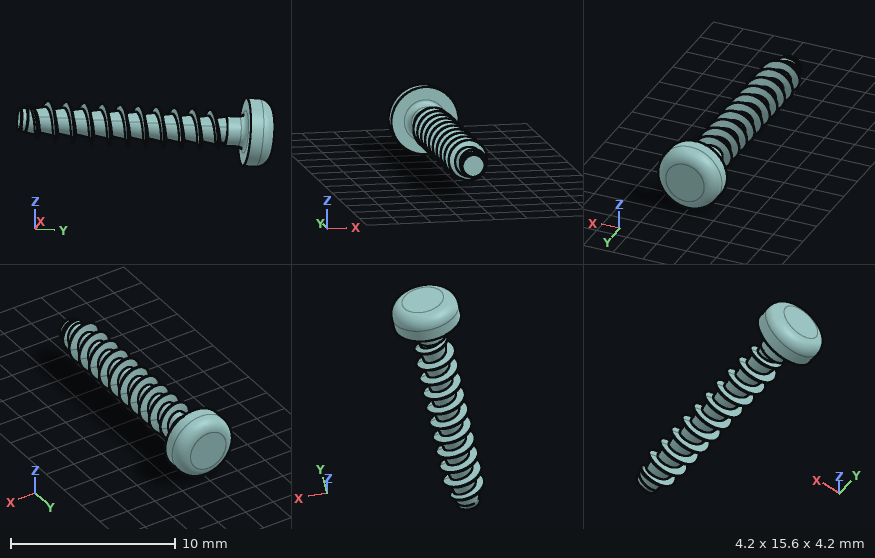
import cadquery as cq
import math

length = 15.6
head_diameter = 4.2
head_radius = head_diameter / 2
head_height = 1.6
head_rounding = 0.81
neck_radius = 0.92
neck_fillet = 0.37
neck_end = 12.78
core_radius = 0.73
tip_face_radius = 0.69
tip_bevel_height = 0.06
tip_land_radius = 0.75
tip_land_height = 0.37
tip_cone_height = 0.78
under_head = length - head_height

thread_span = 12.32
thread_turns = 11
pitch = thread_span / thread_turns
crest_height_at_x = 0.86
crest_radius = 1.26
crest_width = 0.06
crest_least_radius = 0.75
tip_fade_end = 1.5
tip_fade_slope = 0.4
head_fade_start = 11.78
head_fade_slope = 0.32

sawtooth_radius = 0.87
sawtooth_start = 0.15
sawtooth_end = 0.95

first_turn = -1
last_turn = thread_turns + 1
STEPS_PER_TURN = 16


def crest_at(height):
    """Crest radius, which shrinks where the thread fades out near the tip and the neck."""
    tip_sink = tip_fade_slope * max(0, tip_fade_end - height)
    head_sink = head_fade_slope * max(0, height - head_fade_start)
    return max(crest_least_radius, crest_radius - tip_sink - head_sink)


def helix_point(turn, radius, offset):
    """Point at a radius, and at an axial offset from the helix that the crest follows."""
    height = crest_height_at_x + pitch * turn
    angle = 2 * math.pi * turn
    return cq.Vector(radius * math.cos(angle), radius * math.sin(angle), height + offset)


def upper_crest(turn):
    crest = crest_at(crest_height_at_x + pitch * turn)
    return helix_point(turn, crest, crest_width / 2)


def lower_crest(turn):
    crest = crest_at(crest_height_at_x + pitch * turn)
    return helix_point(turn, crest, -crest_width / 2)


def sawtooth_top(turn):
    return helix_point(turn, sawtooth_radius, -sawtooth_start)


def sawtooth_bottom(turn):
    return helix_point(turn, core_radius, -sawtooth_end)


def upper_root(turn):
    """The upper flank ends where the sawtooth of the following turn ends."""
    return sawtooth_bottom(turn + 1)


def axis_point(turn):
    return helix_point(turn, 0, -sawtooth_end)


def one_turn_edge(corner, turn):
    steps = range(STEPS_PER_TURN + 1)
    return cq.Edge.makeSpline([corner(turn + step / STEPS_PER_TURN) for step in steps])


def helicoid_cap(turn):
    """One turn of helicoid between the shaft axis and the foot of the sawtooth."""
    axis = cq.Edge.makeLine(axis_point(turn), axis_point(turn + 1))
    return cq.Face.makeRuledSurface(one_turn_edge(sawtooth_bottom, turn), axis)


def flat_cap(turn):
    """Half section of the shaft, one pitch tall, that closes the step of a helicoid cap."""
    profile = [axis_point, sawtooth_bottom, sawtooth_top, lower_crest, upper_crest, upper_root]
    corners = [corner(turn) for corner in profile]
    corners.append(axis_point(turn + 1))
    return cq.Face.makeFromWires(cq.Wire.makePolygon(corners, close=True))


def tip_waste():
    """Stock outside the bevelled tip, and below it, where the thread has run out."""
    return (
        cq.Workplane("XZ")
        .lineTo(tip_face_radius, 0)
        .lineTo(core_radius, tip_bevel_height)
        .lineTo(tip_land_radius, tip_land_height)
        .lineTo(crest_radius, tip_cone_height)
        .lineTo(head_radius, tip_cone_height)
        .lineTo(head_radius, -head_height)
        .lineTo(0, -head_height)
        .close()
        .revolve(360, (0, 0, 0), (0, 1, 0))
    )


def make_threaded_shaft():
    """Core and thread as one solid, bounded by helical bands and a stepped cap at each end."""
    skin = [sawtooth_bottom, sawtooth_top, lower_crest, upper_crest, upper_root]
    faces = []
    for turn in range(first_turn, last_turn):
        edges = [one_turn_edge(corner, turn) for corner in skin]
        faces += [cq.Face.makeRuledSurface(a, b) for a, b in zip(edges, edges[1:])]
    for turn in (first_turn, last_turn):
        faces += [helicoid_cap(turn), flat_cap(turn)]
    shaft = cq.Solid.makeSolid(cq.Shell.makeShell(faces)).fix()
    return cq.Workplane(shaft).cut(tip_waste())


def make_head():
    """Pan head and filleted neck, revolved in one piece."""
    arc_mid = math.sqrt(0.5)
    fillet_mid = neck_fillet * (1 - arc_mid)
    rounding_mid = head_rounding * (1 - arc_mid)
    return (
        cq.Workplane("XZ")
        .moveTo(0, neck_end)
        .lineTo(neck_radius, neck_end)
        .lineTo(neck_radius, under_head - neck_fillet)
        .threePointArc(
            (neck_radius + fillet_mid, under_head - fillet_mid),
            (neck_radius + neck_fillet, under_head),
        )
        .lineTo(head_radius, under_head)
        .lineTo(head_radius, length - head_rounding)
        .threePointArc(
            (head_radius - rounding_mid, length - rounding_mid),
            (head_radius - head_rounding, length),
        )
        .lineTo(0, length)
        .close()
        .revolve(360, (0, 0, 0), (0, 1, 0))
    )


screw = make_head().union(make_threaded_shaft())
result = screw.rotate((0, 0, 0), (1, 0, 0), -90)